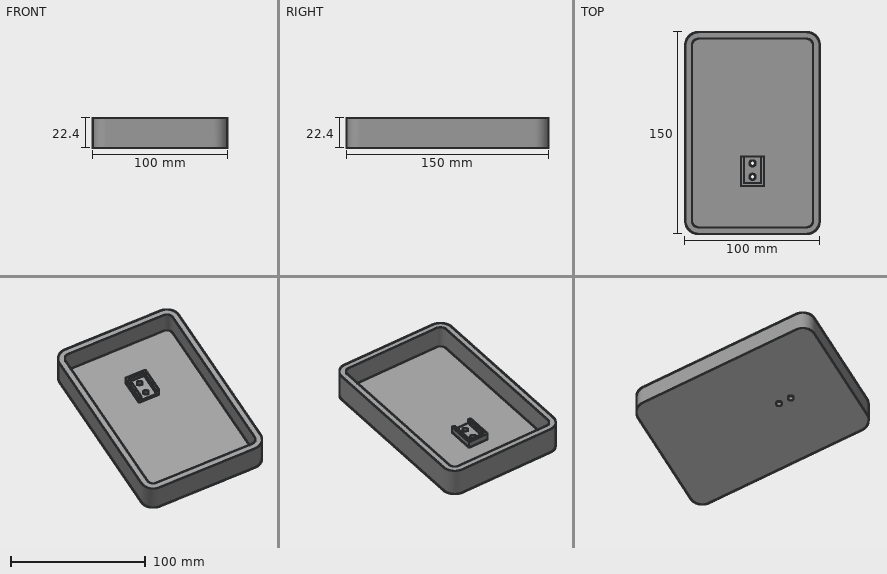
import cadquery as cq

TRAY_WIDTH = 100.0
TRAY_LENGTH = 150.0
TRAY_HEIGHT = 22.4
WALL = 5.0
FLOOR = 4.0
OUTER_RADIUS = 10.0
INNER_RADIUS = OUTER_RADIUS - WALL

HOLDER_INNER_WIDTH = 12.6
HOLDER_INNER_LENGTH = 19.7
HOLDER_WALL = 2.1
HOLDER_HEIGHT = 5.4
HOLDER_BASE = 2.0
HOLDER_OPEN_END_Y = -17.5
HOLDER_WIDTH = HOLDER_INNER_WIDTH + 2 * HOLDER_WALL
HOLDER_LENGTH = HOLDER_INNER_LENGTH + HOLDER_WALL

HOLE_DIAMETER = 4.2
HOLE_SPACING = 10.0
FIRST_HOLE_INSET = 5.0


def rounded_block(width, length, height, radius, base_z):
    """Upright block centred on Z with rounded vertical edges."""
    block = cq.Workplane("XY").workplane(offset=base_z).rect(width, length).extrude(height)
    return block.edges("|Z").fillet(radius)


def block_from_open_end(width, length, height, base_z):
    """Block centred in X that runs toward -Y from the holder's open end."""
    return (
        cq.Workplane("XY", origin=(0, HOLDER_OPEN_END_Y - length / 2, base_z))
        .rect(width, length)
        .extrude(height)
    )


def make_tray():
    body = rounded_block(TRAY_WIDTH, TRAY_LENGTH, TRAY_HEIGHT, OUTER_RADIUS, 0)
    cavity = rounded_block(
        TRAY_WIDTH - 2 * WALL,
        TRAY_LENGTH - 2 * WALL,
        TRAY_HEIGHT - FLOOR,
        INNER_RADIUS,
        FLOOR,
    )
    return body.cut(cavity)


def make_holder():
    body = block_from_open_end(HOLDER_WIDTH, HOLDER_LENGTH, HOLDER_HEIGHT, FLOOR)
    channel = block_from_open_end(
        HOLDER_INNER_WIDTH,
        HOLDER_INNER_LENGTH,
        HOLDER_HEIGHT - HOLDER_BASE,
        FLOOR + HOLDER_BASE,
    )
    return body.cut(channel)


def make_screw_holes():
    first_y = HOLDER_OPEN_END_Y - FIRST_HOLE_INSET
    centres = [(0, first_y), (0, first_y - HOLE_SPACING)]
    return (
        cq.Workplane("XY")
        .pushPoints(centres)
        .circle(HOLE_DIAMETER / 2)
        .extrude(FLOOR + HOLDER_BASE)
    )


result = make_tray().union(make_holder()).cut(make_screw_holes())